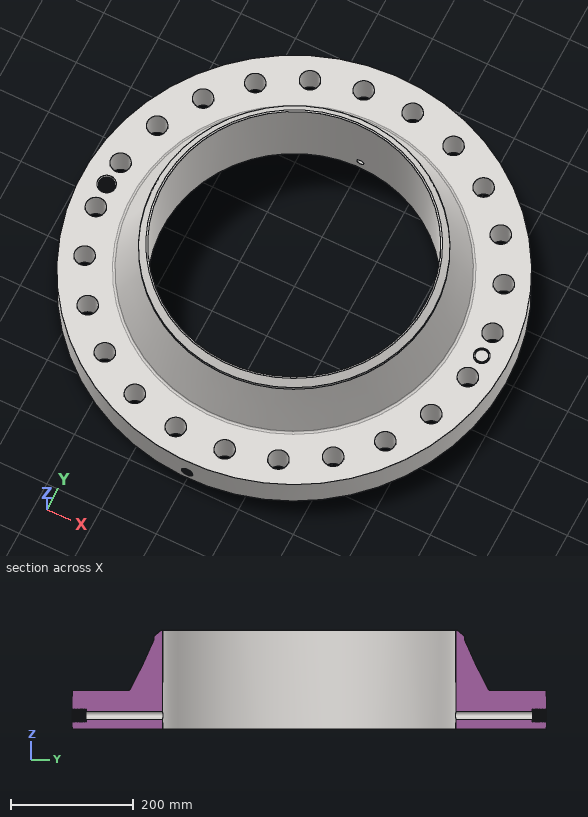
import cadquery as cq

FLANGE_DIAMETER = 775.0
FLANGE_THICKNESS = 63.5
TOTAL_HEIGHT = 162.0
BORE_DIAMETER = 478.0

HUB_BASE_DIAMETER = 587.0
HUB_ROOT_FILLET = 5.0
PIPE_DIAMETER = 508.0
PIPE_LENGTH = 16.0
WELD_LAND = 3.0
BEVEL_HEIGHT = 10.0

BOLT_COUNT = 24
BOLT_CIRCLE_DIAMETER = 685.5
BOLT_HOLE_DIAMETER = 35.0
BOLT_PITCH_ANGLE = 360 / BOLT_COUNT

JACK_MAJOR_DIAMETER = 32.0
JACK_MINOR_DIAMETER = 27.0
JACK_TURNS = 16
JACK_PITCH = FLANGE_THICKNESS / JACK_TURNS

GROOVE_OUTER_DIAMETER = 27.0
GROOVE_INNER_DIAMETER = 22.5
GROOVE_DEPTH = 1.5

TAP_HEIGHT = 22.5
TAP_HOLE_DIAMETER = 12.5
PORT_MAJOR_DIAMETER = 21.0
PORT_MINOR_DIAMETER = 18.0
PORT_TURNS = 10
PORT_PITCH = 2.0

flange_radius = FLANGE_DIAMETER / 2
bore_radius = BORE_DIAMETER / 2
pipe_radius = PIPE_DIAMETER / 2
bolt_circle_radius = BOLT_CIRCLE_DIAMETER / 2


def flange_body():
    """Ring, tapered hub and bevelled weld end, revolved about Z."""
    profile = (
        cq.Workplane("XZ")
        .moveTo(bore_radius, 0)
        .lineTo(flange_radius, 0)
        .lineTo(flange_radius, FLANGE_THICKNESS)
        .lineTo(HUB_BASE_DIAMETER / 2, FLANGE_THICKNESS)
        .lineTo(pipe_radius, TOTAL_HEIGHT - PIPE_LENGTH)
        .lineTo(pipe_radius, TOTAL_HEIGHT - BEVEL_HEIGHT)
        .lineTo(bore_radius + WELD_LAND, TOTAL_HEIGHT)
        .lineTo(bore_radius, TOTAL_HEIGHT)
        .close()
    )
    body = profile.revolve(360, (0, 0, 0), (0, 1, 0))
    ring_top = body.faces("|Z").faces(cq.selectors.CenterNthSelector(cq.Vector(0, 0, 1), 1))
    return ring_top.edges(cq.selectors.RadiusNthSelector(0)).fillet(HUB_ROOT_FILLET)


def bolt_holes():
    return (
        cq.Workplane("XY")
        .polarArray(bolt_circle_radius, BOLT_PITCH_ANGLE / 2, 360, BOLT_COUNT)
        .circle(BOLT_HOLE_DIAMETER / 2)
        .extrude(FLANGE_THICKNESS)
    )


def threaded_plug(major_diameter, minor_diameter, pitch, turns):
    """Cutter for a threaded hole along +Z, its thread formed by ring-shaped V grooves."""
    profile = cq.Workplane("XZ").lineTo(major_diameter / 2, 0)
    for turn in range(turns):
        profile = profile.lineTo(minor_diameter / 2, (turn + 0.5) * pitch)
        profile = profile.lineTo(major_diameter / 2, (turn + 1) * pitch)
    profile = profile.lineTo(0, turns * pitch).close()
    return profile.revolve(360, (0, 0, 0), (0, 1, 0))


def jack_hole():
    plug = threaded_plug(JACK_MAJOR_DIAMETER, JACK_MINOR_DIAMETER, JACK_PITCH, JACK_TURNS)
    return plug.translate((-bolt_circle_radius, 0, 0))


def ring_groove():
    return (
        cq.Workplane("XY", origin=(bolt_circle_radius, 0, FLANGE_THICKNESS))
        .circle(GROOVE_OUTER_DIAMETER / 2)
        .circle(GROOVE_INNER_DIAMETER / 2)
        .extrude(-GROOVE_DEPTH)
    )


def pressure_tap():
    """Hole from the -Y rim into the bore, with a threaded port at the rim."""
    port = threaded_plug(PORT_MAJOR_DIAMETER, PORT_MINOR_DIAMETER, PORT_PITCH, PORT_TURNS)
    hole = cq.Workplane("XY").circle(TAP_HOLE_DIAMETER / 2).extrude(flange_radius)
    tap = port.union(hole).rotate((0, 0, 0), (1, 0, 0), -90)
    return tap.translate((0, -flange_radius, TAP_HEIGHT))


result = flange_body().cut(bolt_holes()).cut(jack_hole()).cut(ring_groove())
front_tap = pressure_tap()
result = result.cut(front_tap).cut(front_tap.mirror("XZ"))